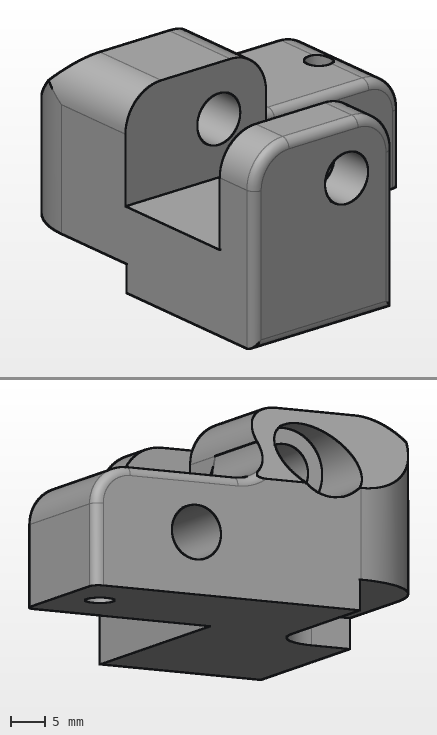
import cadquery as cq

length = 57.2
depth = 57.0
height = 31.75

block_depth = 26.55
arm_width = 21.45
arm_height = 18.2
profile_radius = 6.75
arm_end_radius = 5.95
edge_radius = 1.5
corner_radius = 13.0

slot_start = 27.75
slot_end = 49.5
slot_floor = 13.6

relief_length = 27.95
relief_depth = 13.15
relief_height = 4.6
relief_radius = 6.75

pin_diameter = 8.1
pin_y = 17.6
pin_z = 22.8
counterbore_diameter = 12.8
counterbore_depth = 15.45
arm_hole_y = 40.15
arm_hole_z = 9.25
lock_hole_diameter = 4.35
lock_hole_x = arm_width / 2
lock_hole_y = 50.45


def make_block():
    """Full-length block with rounded upper edges and a softened +X end."""
    block = cq.Workplane("XY").box(length, block_depth, height, centered=False)
    block = block.edges("|X and >Z").fillet(profile_radius)
    return block.faces(">X").edges().fillet(edge_radius)


def make_arm():
    """Low arm blended into the back of the block by a concave arc."""
    blend_end = block_depth + profile_radius
    arm = (
        cq.Workplane("YZ")
        .lineTo(depth, 0)
        .lineTo(depth, arm_height - arm_end_radius)
        .radiusArc((depth - arm_end_radius, arm_height), -arm_end_radius)
        .lineTo(blend_end, arm_height)
        .radiusArc((block_depth, arm_height + profile_radius), profile_radius)
        .radiusArc((block_depth - profile_radius, height), -profile_radius)
        .lineTo(profile_radius, height)
        .radiusArc((0, height - profile_radius), -profile_radius)
        .close()
        .extrude(arm_width)
    )
    behind_block = cq.selectors.BoxSelector(
        (-0.6, block_depth - profile_radius, 0.6), (arm_width + 0.6, depth + 0.6, height + 0.6)
    )
    side_edges = arm.faces("<X or >X").edges(behind_block)
    arm = side_edges.fillet(edge_radius)
    block_zone = cq.Workplane("XY").box(arm_width, block_depth, height, centered=False)
    return arm.cut(block_zone)


def x_hole(y, z, diameter, hole_length):
    """Cylinder along +X starting at the X = 0 face."""
    return cq.Workplane("YZ").center(y, z).circle(diameter / 2).extrude(hole_length)


def make_slot():
    return cq.Workplane("XY").box(
        slot_end - slot_start, block_depth, height - slot_floor, centered=False
    ).translate((slot_start, 0, slot_floor))


def make_sloped_cut():
    """45 degree wedge removed above the arm height at the X = 0 end."""
    rise = height - arm_height
    wedge = cq.Workplane("XZ").polyline([(0, arm_height), (0, height), (rise, height)]).close()
    return wedge.extrude(-depth)


def make_corner_cut():
    """Waste outside the large rounded vertical corner at the origin."""
    square = cq.Workplane("XY").rect(corner_radius, corner_radius, centered=False).extrude(height)
    round_corner = (
        cq.Workplane("XY").center(corner_radius, corner_radius).circle(corner_radius).extrude(height)
    )
    return square.cut(round_corner)


def make_relief():
    relief = cq.Workplane("XY").box(relief_length, relief_depth, relief_height, centered=False)
    return relief.edges("|Z and >X and >Y").fillet(relief_radius)


result = make_block().union(make_arm())
result = result.cut(make_slot()).cut(make_sloped_cut())
result = result.cut(make_corner_cut()).cut(make_relief())

result = result.cut(x_hole(pin_y, pin_z, pin_diameter, length))
result = result.cut(x_hole(pin_y, pin_z, counterbore_diameter, counterbore_depth))
result = result.cut(x_hole(arm_hole_y, arm_hole_z, pin_diameter, arm_width))

lock_hole = cq.Workplane("XY").center(lock_hole_x, lock_hole_y).circle(lock_hole_diameter / 2)
result = result.cut(lock_hole.extrude(arm_height))